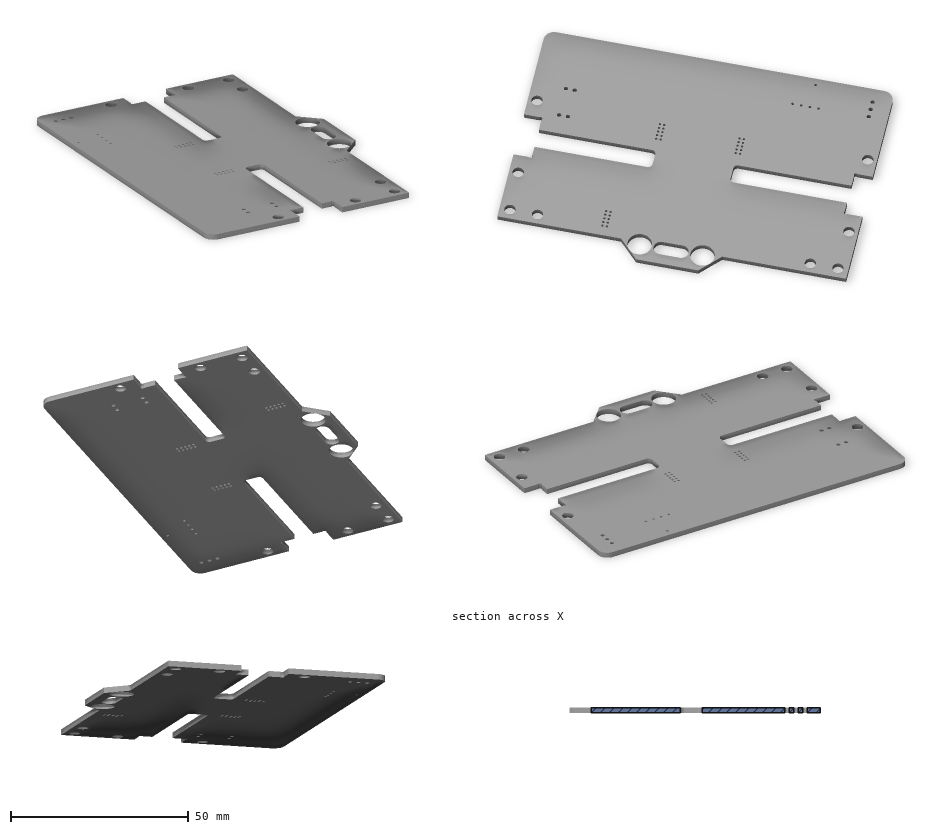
import cadquery as cq

length = 100.8
depth = 71.0
thickness = 1.6
half_length = length / 2
corner_radius = 3.0

shoulder_y = 64.9
tab_top_half = 9.0
tab_base_half = 14.6

slot_low_y = 33.6
slot_high_y = 39.5
slot_inner_x = 11.3
slot_corner_radius = 1.2
notch_low_y = 29.3
notch_high_y = 43.2
notch_inner_x = 45.2
relief_diameter = 1.1
relief_inset = 0.4

opening_y = 65.7
round_opening_x = 9.1
round_opening_diameter = 7.0
oblong_length = 10.1
oblong_width = 4.2

mount_diameter = 3.2
mount_positions = [(47.4, 61.9), (39.4, 61.9), (47.8, 49.0), (47.8, 23.9)]

header_diameter = 0.7
header_pitch = 1.27
header_rows = 5
header_columns = 2
header_centers = [(20.1, 59.2), (-11.5, 27.0), (11.5, 27.0)]

pin_pitch = 2.5
sensor_diameter = 0.77
sensor_count = 4
sensor_start_x = -30.5
sensor_y = 9.8
separate_pin_y = 2.1

terminal_diameter = 1.2
column_count = 3
column_x = -45.0
column_start_y = 4.4
pair_start_x = 38.1
pair_rows_y = (18.2, 27.4)


def mirrored(points):
    """Return the points together with their twins across the YZ plane."""
    return points + [(-x, y) for x, y in points]


def make_board():
    right_side = [
        (half_length, 0),
        (half_length, notch_low_y),
        (notch_inner_x, notch_low_y),
        (notch_inner_x, slot_low_y),
        (slot_inner_x, slot_low_y),
        (slot_inner_x, slot_high_y),
        (notch_inner_x, slot_high_y),
        (notch_inner_x, notch_high_y),
        (half_length, notch_high_y),
        (half_length, shoulder_y),
        (tab_base_half, shoulder_y),
        (tab_top_half, depth),
    ]
    left_side = [(-x, y) for x, y in reversed(right_side)]
    board = cq.Workplane("XY").polyline(right_side + left_side).close().extrude(thickness)

    lower_corners = mirrored([(half_length, 0)])
    slot_corners = mirrored([(slot_inner_x, slot_low_y), (slot_inner_x, slot_high_y)])
    board = round_edges(board, lower_corners, corner_radius)
    return round_edges(board, slot_corners, slot_corner_radius)


def round_edges(body, points, radius):
    """Fillet the vertical edges standing at the given points."""
    for x, y in points:
        nearest = cq.selectors.NearestToPointSelector((x, y, thickness / 2))
        body = body.edges("|Z").edges(nearest).fillet(radius)
    return body


def drill(body, points, diameter):
    """Cut a through hole at every point."""
    drills = cq.Workplane("XY").pushPoints(points).circle(diameter / 2).extrude(thickness)
    return body.cut(drills)


def cut_notch_reliefs(body):
    """Relieve the inner notch corners with small circular overcuts."""
    relief_x = notch_inner_x + relief_inset
    reliefs = [(relief_x, notch_low_y + relief_inset), (relief_x, notch_high_y - relief_inset)]
    return drill(body, mirrored(reliefs), relief_diameter)


def cut_tab_openings(body):
    body = drill(body, mirrored([(round_opening_x, opening_y)]), round_opening_diameter)
    oblong = cq.Workplane("XY").center(0, opening_y).slot2D(oblong_length, oblong_width)
    return body.cut(oblong.extrude(thickness))


def header_points(center_x, center_y):
    return [
        (
            center_x + (column - (header_columns - 1) / 2) * header_pitch,
            center_y + (row - (header_rows - 1) / 2) * header_pitch,
        )
        for column in range(header_columns)
        for row in range(header_rows)
    ]


def sensor_points():
    row = [(sensor_start_x + i * pin_pitch, sensor_y) for i in range(sensor_count)]
    return row + [(sensor_start_x + pin_pitch, separate_pin_y)]


def terminal_points():
    column = [(column_x, column_start_y + i * pin_pitch) for i in range(column_count)]
    pairs = [(pair_start_x + i * pin_pitch, y) for y in pair_rows_y for i in range(2)]
    return column + pairs


result = cut_notch_reliefs(make_board())
result = cut_tab_openings(result)
result = drill(result, mirrored(mount_positions), mount_diameter)
for header_center in header_centers:
    result = drill(result, header_points(*header_center), header_diameter)
result = drill(result, sensor_points(), sensor_diameter)
result = drill(result, terminal_points(), terminal_diameter)